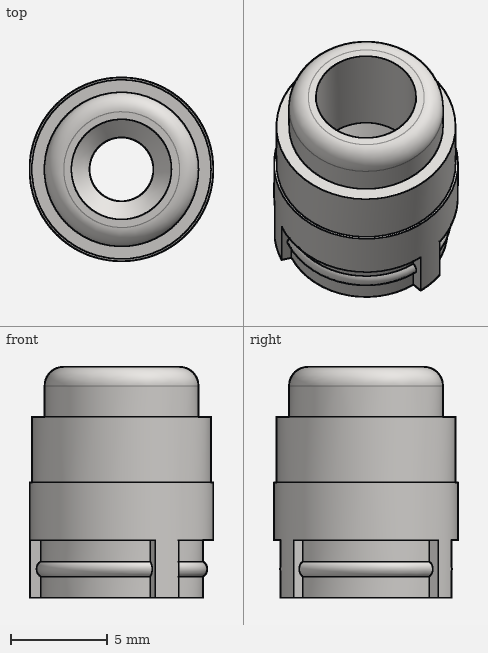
import cadquery as cq
import math

height = 12.0
collar_diameter = 9.55
shoulder_diameter = 9.3
nose_diameter = 8.0
nose_fillet = 1.0
neck_diameter = 8.5

neck_top = height / 4
collar_top = height / 2
shoulder_top = 9.4

bead_middle = neck_top / 2
bead_width = 0.78
bead_projection = 0.22

tab_count = 3
tab_width = 1.4
first_tab_angle = 180

bore_diameter = 5.2
through_diameter = 3.3
seat_top = collar_top
seat_angle = 45


def cylinder(diameter, bottom, top):
    return cq.Workplane("XY", origin=(0, 0, bottom)).circle(diameter / 2).extrude(top - bottom)


def make_body():
    nose = cylinder(nose_diameter, shoulder_top, height).faces(">Z").edges().fillet(nose_fillet)
    neck = cylinder(neck_diameter, 0, neck_top)
    collar = cylinder(collar_diameter, neck_top, collar_top)
    shoulder = cylinder(shoulder_diameter, collar_top, shoulder_top)
    return neck.union(collar).union(shoulder).union(nose)


def make_bead():
    neck_radius = neck_diameter / 2
    root_radius = neck_radius - bead_projection
    low = bead_middle - bead_width / 2
    high = bead_middle + bead_width / 2
    return (
        cq.Workplane("XZ")
        .moveTo(root_radius, low)
        .lineTo(neck_radius, low)
        .threePointArc((neck_radius + bead_projection, bead_middle), (neck_radius, high))
        .lineTo(root_radius, high)
        .close()
        .revolve(360, (0, 0), (0, 1))
    )


def make_tabs():
    bar = cq.Workplane("XY").box(collar_diameter / 2, tab_width, neck_top, centered=(False, True, False))
    bars = cq.Workplane("XY")
    for index in range(tab_count):
        angle = first_tab_angle + index * 360 / tab_count
        bars = bars.union(bar.rotate((0, 0, 0), (0, 0, 1), angle))
    return bars.intersect(cylinder(collar_diameter, 0, neck_top))


def make_bore():
    bore_radius = bore_diameter / 2
    through_radius = through_diameter / 2
    seat_depth = (bore_radius - through_radius) / math.tan(math.radians(seat_angle))
    return (
        cq.Workplane("XZ")
        .moveTo(0, 0)
        .lineTo(through_radius, 0)
        .lineTo(through_radius, seat_top - seat_depth)
        .lineTo(bore_radius, seat_top)
        .lineTo(bore_radius, height)
        .lineTo(0, height)
        .close()
        .revolve(360, (0, 0), (0, 1))
    )


result = make_body().union(make_bead()).union(make_tabs()).cut(make_bore())